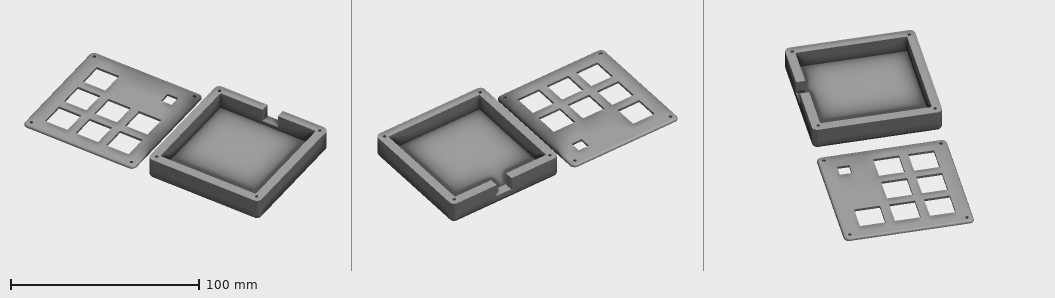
import cadquery as cq

WIDTH = 69.5
LENGTH = 70.8
CORNER_RADIUS = 3.0
SCREW_DIAMETER = 1.9
SCREW_INSET = 3.5

OVERALL_WIDTH = 147.9
CASE_X = OVERALL_WIDTH - WIDTH
CASE_HEIGHT = 13.0
CASE_BOTTOM_FILLET = 2.0
RIM = 5.0
FLOOR = 3.0
SCREW_DEPTH = CASE_HEIGHT - FLOOR
NOTCH_WIDTH = 9.6
NOTCH_DEPTH = 7.5
NOTCH_X = 31.2

PLATE_Y = 0.5
PLATE_Z = 0.3
PLATE_THICKNESS = 1.5
PLATE_TOP_FILLET = 1.3
KEY_SIZE = 14.0
KEY_PITCH = 19.1
FIRST_KEY_X = 16.1
FIRST_KEY_Y = 15.4
KEYS_PER_ROW = (3, 3, 1)
WINDOW_SIZE = 6.7
WINDOW_X = 56.0
WINDOW_Y = 58.3


def rounded_slab(height):
    """Slab with its lower left corner at the origin and rounded upright edges."""
    slab = cq.Workplane("XY").box(WIDTH, LENGTH, height, centered=False)
    return slab.edges("|Z").fillet(CORNER_RADIUS)


def square_cutter(size, x, y):
    """Square prism through the plate, centred on (x, y)."""
    cutter = cq.Workplane("XY").box(size, size, PLATE_THICKNESS, centered=(True, True, False))
    return cutter.translate((x, y, 0))


def screw_cutters(base_z, height):
    """One cylinder in each corner of the footprint."""
    corners = [
        (x, y)
        for x in (SCREW_INSET, WIDTH - SCREW_INSET)
        for y in (SCREW_INSET, LENGTH - SCREW_INSET)
    ]
    cutters = cq.Workplane("XY").workplane(offset=base_z).pushPoints(corners)
    return cutters.circle(SCREW_DIAMETER / 2).extrude(height)


def make_case():
    case = rounded_slab(CASE_HEIGHT).faces("<Z").edges().fillet(CASE_BOTTOM_FILLET)

    cavity_size = (WIDTH - 2 * RIM, LENGTH - 2 * RIM, CASE_HEIGHT - FLOOR)
    cavity = cq.Workplane("XY").box(*cavity_size, centered=False)
    case = case.cut(cavity.translate((RIM, RIM, FLOOR)))

    notch = cq.Workplane("XY").box(NOTCH_WIDTH, RIM, NOTCH_DEPTH, centered=False)
    case = case.cut(notch.translate((NOTCH_X, LENGTH - RIM, CASE_HEIGHT - NOTCH_DEPTH)))

    case = case.cut(screw_cutters(CASE_HEIGHT - SCREW_DEPTH, SCREW_DEPTH))
    return case.translate((CASE_X, 0, 0))


def make_plate():
    plate = rounded_slab(PLATE_THICKNESS).faces(">Z").edges().fillet(PLATE_TOP_FILLET)

    for row, key_count in enumerate(KEYS_PER_ROW):
        for column in range(key_count):
            key_x = FIRST_KEY_X + column * KEY_PITCH
            key_y = FIRST_KEY_Y + row * KEY_PITCH
            plate = plate.cut(square_cutter(KEY_SIZE, key_x, key_y))

    plate = plate.cut(square_cutter(WINDOW_SIZE, WINDOW_X, WINDOW_Y))
    plate = plate.cut(screw_cutters(0, PLATE_THICKNESS))
    return plate.translate((0, PLATE_Y, PLATE_Z))


case = make_case()
plate = make_plate()
result = cq.Compound.makeCompound([case.val(), plate.val()])